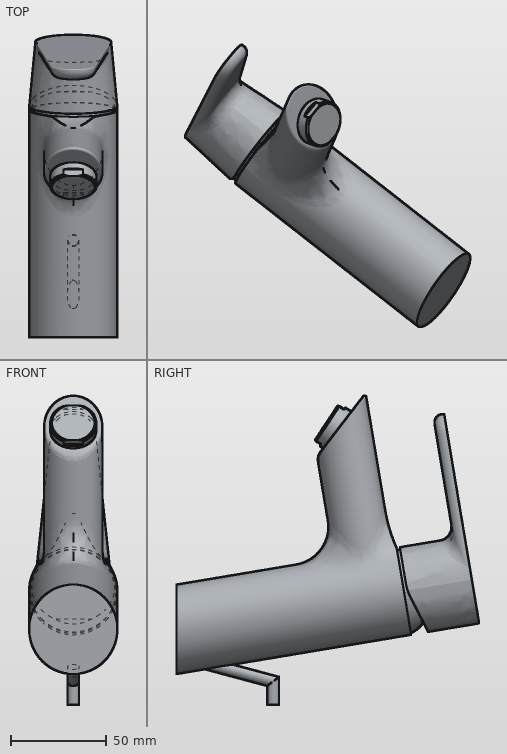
import cadquery as cq
import math

TILT = 9.5

MARGIN = 1.0

BODY_RADIUS = 23.25
BODY_END = 121.3
BODY_OVERRUN = 40.0
SPOUT_RADIUS = 15.4
SPOUT_Y = 103.3
SPOUT_BLEND_RADIUS = 20.0
SPOUT_BACK = SPOUT_Y + SPOUT_RADIUS
BACK_SCARF_TOP = 42.0
BACK_SCARF_BULGE = 0.6
MOUTH_CENTRE_Z = 91.8
MOUTH_ANGLE = 43.0
MOUTH_TIP_RADIUS = 1.0
MOUTH_HEEL_RADIUS = 6.5

AERATOR_RADIUS = 12.2
AERATOR_FACE_Y = 95.7
AERATOR_FACE_Z = 94.1
AERATOR_DIRECTION = 137.0
AERATOR_LENGTH = 18.0
AERATOR_CHAMFER = 0.9
SLOT_WIDTH = 10.0
SLOT_LENGTH = 3.9
SLOT_DEPTH = 1.3

NECK_BASE_RADIUS = 22.4
NECK_TIP_RADIUS = 18.6
NECK_TAPER_LENGTH = 6.8
NECK_BULGE = 0.5
HANDLE_FRONT = 123.0
HANDLE_BACK = 157.6
HANDLE_BACK_HALF_WIDTH = 20.0
UNDERCUT_LENGTH = 7.4
UNDERCUT_BLEND_RADIUS = 25.0
BACK_EDGE_RADIUS = 0.6

LEVER_THICKNESS = 6.0
LEVER_TIP_Z = 88.6
LEVER_TIP_HALF_WIDTH = 10.7
LEVER_TIP_RADIUS = 11.4
LEVER_EDGE_RADIUS = 4.6
LEVER_ROOT_RADIUS = 7.0

ROD_RADIUS = 3.15
ROD_Y = 50.9
ROD_BEND_Z = -27.4
ROD_BOTTOM_Z = -39.9
ROD_RISE_ANGLE = 15.0
ROD_ARM_LENGTH = 40.0
ROD_CHAMFER = 0.4


def across_y(y):
    """Sketch plane square to the body axis: X to the right, Z up."""
    return cq.Workplane("XZ", origin=(0, y, 0))


def side_prism(sketch):
    """Extrude a side outline across the whole width of the part."""
    return sketch.extrude(2 * BODY_RADIUS, both=True)


def tilted(solid):
    return solid.rotate((0, 0, 0), (1, 0, 0), TILT)


def make_body_and_spout():
    length = BODY_END + 2 * BODY_OVERRUN
    body = across_y(-BODY_OVERRUN).circle(BODY_RADIUS).extrude(-length)
    spout = (
        cq.Workplane("XY")
        .center(0, SPOUT_Y)
        .circle(SPOUT_RADIUS)
        .extrude(MOUTH_CENTRE_Z + 2 * SPOUT_RADIUS)
    )
    joined = body.union(spout)
    junction = cq.selectors.BoxSelector(
        (-BODY_RADIUS, SPOUT_Y - BODY_RADIUS, 0),
        (BODY_RADIUS, SPOUT_Y + BODY_RADIUS, BODY_RADIUS + MARGIN),
    )
    joined = joined.edges(junction).fillet(SPOUT_BLEND_RADIUS)
    joined = joined.cut(beyond_mouth())
    joined = round_mouth(joined)
    return joined.cut(behind_body())


def round_mouth(spout):
    """Round the mouth rim with a radius growing from the tip at the back to the heel in front.

    One half is rounded, since the radius can only vary along an open edge, and then mirrored.
    """
    size = 4 * BODY_END
    right_side = cq.Workplane("XY").box(size, size, size, centered=(False, True, True))
    half = spout.intersect(right_side)
    rim = half.faces(">Z").edges("%ELLIPSE").val()
    radii = (MOUTH_TIP_RADIUS, MOUTH_HEEL_RADIUS)
    if rim.startPoint().z < rim.endPoint().z:
        radii = radii[::-1]
    rounding = cq.occ_impl.shapes.BRepFilletAPI_MakeFillet(half.val().Solids()[0].wrapped)
    rounding.Add(*radii, rim.wrapped)
    rounded = cq.Workplane(cq.Shape.cast(rounding.Shape()).Solids()[0])
    return rounded.union(rounded.mirror("YZ"))


def beyond_mouth():
    """Half space past the slanted mouth plane."""
    size = 4 * SPOUT_RADIUS
    return (
        cq.Workplane("XY")
        .box(size, 2 * size, size, centered=(True, True, False))
        .rotate((0, 0, 0), (1, 0, 0), MOUTH_ANGLE)
        .translate((0, SPOUT_Y, MOUTH_CENTRE_Z))
    )


def behind_body():
    """Everything behind the body end, with a gentle curve up the back of the spout blend."""
    far = BODY_END + 2 * BODY_OVERRUN
    middle = (
        (SPOUT_BACK + BODY_END) / 2 - BACK_SCARF_BULGE,
        (BACK_SCARF_TOP + BODY_RADIUS) / 2,
    )
    outline = (
        cq.Workplane("YZ")
        .moveTo(BODY_END, -2 * BODY_RADIUS)
        .lineTo(BODY_END, BODY_RADIUS)
        .threePointArc(middle, (SPOUT_BACK, BACK_SCARF_TOP))
        .lineTo(far, BACK_SCARF_TOP)
        .lineTo(far, -2 * BODY_RADIUS)
        .close()
    )
    return side_prism(outline)


def make_aerator():
    """Built with its outlet facing +Z at the origin, then turned into place."""
    aerator = cq.Workplane("XY").circle(AERATOR_RADIUS).extrude(-AERATOR_LENGTH)
    aerator = aerator.faces(">Z").chamfer(AERATOR_CHAMFER)
    for side in (-1, 1):
        slot = cq.Workplane("XY").box(SLOT_WIDTH, 2 * SLOT_DEPTH, 2 * SLOT_LENGTH)
        aerator = aerator.cut(slot.translate((0, side * AERATOR_RADIUS, 0)))
    aerator = aerator.rotate((0, 0, 0), (1, 0, 0), AERATOR_DIRECTION - 90)
    return aerator.translate((0, AERATOR_FACE_Y, AERATOR_FACE_Z))


def make_neck():
    root = BODY_END - MARGIN
    tip = BODY_END + NECK_TAPER_LENGTH
    middle = ((NECK_BASE_RADIUS + NECK_TIP_RADIUS) / 2 + NECK_BULGE, (BODY_END + tip) / 2)
    return (
        cq.Workplane("XY")
        .moveTo(0, root)
        .lineTo(NECK_BASE_RADIUS, root)
        .lineTo(NECK_BASE_RADIUS, BODY_END)
        .threePointArc(middle, (NECK_TIP_RADIUS, tip))
        .lineTo(0, tip)
        .close()
        .revolve(360, (0, 0, 0), (0, 1, 0))
    )


def make_lever():
    half_width = HANDLE_BACK_HALF_WIDTH
    blank = (
        across_y(HANDLE_BACK)
        .moveTo(-half_width, 0)
        .threePointArc((0, -half_width), (half_width, 0))
        .lineTo(LEVER_TIP_HALF_WIDTH, LEVER_TIP_Z)
        .lineTo(-LEVER_TIP_HALF_WIDTH, LEVER_TIP_Z)
        .close()
        .extrude(LEVER_THICKNESS)
    )
    blank = blank.edges("|Y and >Z").fillet(LEVER_TIP_RADIUS)
    return blank.faces("<Y").edges(">Z").fillet(LEVER_EDGE_RADIUS)


def make_handle():
    """Barrel tapering in width only, joined to the lever that rises along its back."""
    barrel = (
        across_y(HANDLE_FRONT)
        .circle(BODY_RADIUS)
        .workplane(offset=HANDLE_FRONT - HANDLE_BACK)
        .ellipse(HANDLE_BACK_HALF_WIDTH, BODY_RADIUS)
        .loft(ruled=True)
    )
    handle = barrel.union(make_lever())
    root = cq.selectors.BoxSelector(
        (-HANDLE_BACK_HALF_WIDTH, HANDLE_BACK - LEVER_THICKNESS - MARGIN, MARGIN),
        (HANDLE_BACK_HALF_WIDTH, HANDLE_BACK - MARGIN, BODY_RADIUS + MARGIN),
    )
    handle = handle.edges(root).edges("%BSPLINE").fillet(LEVER_ROOT_RADIUS)
    undercut = (
        cq.Workplane("YZ")
        .moveTo(HANDLE_FRONT - MARGIN, BODY_RADIUS)
        .lineTo(HANDLE_FRONT, BODY_RADIUS)
        .lineTo(HANDLE_FRONT, 0)
        .lineTo(HANDLE_FRONT + UNDERCUT_LENGTH, -BODY_RADIUS)
        .lineTo(HANDLE_FRONT + UNDERCUT_LENGTH, -2 * BODY_RADIUS)
        .lineTo(HANDLE_FRONT - MARGIN, -2 * BODY_RADIUS)
        .close()
    )
    corner = cq.selectors.BoxSelector(
        (-MARGIN, HANDLE_FRONT - MARGIN / 2, -MARGIN),
        (MARGIN, HANDLE_FRONT + MARGIN / 2, MARGIN),
    )
    cutter = side_prism(undercut).edges(corner).fillet(UNDERCUT_BLEND_RADIUS)
    return handle.cut(cutter).faces(">Y").edges().fillet(BACK_EDGE_RADIUS)


def make_rod():
    """Upright rod with a mitred bend into an arm that rises forward into the body."""
    rise = math.radians(ROD_RISE_ANGLE)
    path = (
        cq.Workplane("YZ")
        .moveTo(ROD_Y, ROD_BOTTOM_Z)
        .lineTo(ROD_Y, ROD_BEND_Z)
        .line(-ROD_ARM_LENGTH * math.cos(rise), ROD_ARM_LENGTH * math.sin(rise))
    )
    rod = (
        cq.Workplane("XY", origin=(0, ROD_Y, ROD_BOTTOM_Z))
        .circle(ROD_RADIUS)
        .sweep(path, transition="right")
    )
    return rod.faces("<Z").chamfer(ROD_CHAMFER)


def front_of_base():
    """The space in front of the vertical base face."""
    size = 2 * BODY_OVERRUN
    return cq.Workplane("XY").box(size, size, size).translate((0, -size / 2, 0))


faucet = make_body_and_spout()
for piece in (make_aerator(), make_neck(), make_handle()):
    faucet = faucet.union(piece)
result = tilted(faucet).cut(front_of_base()).union(make_rod())